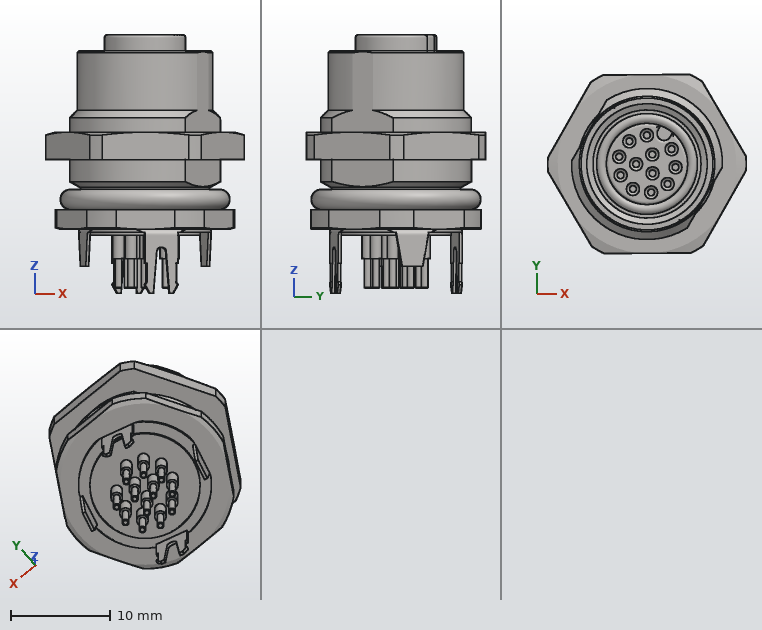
import cadquery as cq
import math

TOTAL_HEIGHT = 26.05
SHELL_TOP = 24.4
SHOULDER_TOP = 18.45
NUT_TOP = 16.23
NUT_BOTTOM = 13.47
THREAD_BOTTOM = 11.25
NECK_TOP = 10.68
FLANGE_TOP = 8.45
FLANGE_BOTTOM = 6.45
SKIRT_BOTTOM = 6.15
BASE_BOTTOM = 5.84

SHELL_RADIUS = 6.83
SHELL_EDGE_CHAMFER = 0.18
THREAD_RADIUS = 7.6
THREAD_END_RADIUS = 6.6
NECK_RADIUS = 6.5
SKIRT_RADIUS = 6.7
BASE_RADIUS = 5.55
FLAT_DISTANCE = 6.72
FLAT_ANGLE = 150.0

CAVITY_MOUTH_RADIUS = 6.07
CAVITY_RADIUS = 5.45
CAVITY_LEAD_IN_DROP = 0.3
CAVITY_DEPTH = 7.82
CAVITY_FLOOR = SHELL_TOP - CAVITY_DEPTH

INSERT_RADIUS = 4.1
INSERT_EDGE_FILLET = 0.3
KEYWAY_RADIUS = 0.7
KEYWAY_DISTANCE = 3.52
KEYWAY_ANGLE = 60.7
SOCKET_RADIUS = 0.35
SOCKET_MOUTH_RADIUS = 0.65
SOCKET_DEPTH = 5.2

OUTER_CONTACTS = 9
OUTER_CONTACT_RADIUS = 2.9
OUTER_CONTACT_PITCH = 37.6
INNER_CONTACTS = 3
INNER_CONTACT_RADIUS = 1.1
CONTACT_CENTRE_ANGLE = KEYWAY_ANGLE + 180

PIN_SLEEVE_RADIUS = 0.57
PIN_SLEEVE_BOTTOM = 3.5
PIN_RADIUS = 0.35
PIN_BOTTOM = 0.5
PIN_CHAMFER = 0.1

LEG_FACE_DISTANCE = 6.45
LEG_THICKNESS = 0.3
LEG_BEND_RADIUS = 0.78
PLAIN_LEG_ANGLES = (15.0, 195.0)
FORKED_LEG_ANGLES = (105.0, 285.0)
PLAIN_LEG_TOP_HALF = 1.7
PLAIN_LEG_BOTTOM_HALF = 1.07
PLAIN_LEG_BOTTOM = 2.7
FORK_HALF = 1.72
FORK_WAIST_HALF = 1.5
FORK_TIP_HALF = 1.22
FORK_SHOULDER = 3.05
FORK_BARB_TOP = 1.15
FORK_BARB = 0.89
SLOT_TOP_HALF = 0.5
SLOT_BOTTOM_HALF = 0.83
SLOT_ARCH_START = 4.15

HEX_TURN = 0.4
NUT_FLAT_DISTANCE = 9.0
NUT_CORNER_RADIUS = 10.0
NUT_CHAMFER_DROP = 0.29
NUT_BORE_RADIUS = 6.98
FLANGE_FLAT_DISTANCE = 8.55
FLANGE_CORNER_RADIUS = 9.05
FLANGE_CHAMFER_DROP = 0.15

SEAL_SECTION_RADIUS = 1.02
INNER_SEAL_SECTION_RADIUS = 0.5


def polar(radius, angle):
    """Point at a radius and an angle in degrees around the connector axis."""
    return radius * math.cos(math.radians(angle)), radius * math.sin(math.radians(angle))


def cylinder(radius, bottom, top):
    return cq.Workplane("XY").workplane(offset=bottom).circle(radius).extrude(top - bottom)


def revolved(points):
    """Solid of revolution from (radius, z) points."""
    return cq.Workplane("XZ").polyline(points).close().revolve(360, (0, 0), (0, 1))


def rounded_hexagon(flat_distance, corner_radius, bottom, top):
    """Hexagonal prism with flats facing Y, its corners turned down to a radius."""
    across_corners = 2 * flat_distance / math.cos(math.radians(30))
    hexagon = cq.Workplane("XY").workplane(offset=bottom).polygon(6, across_corners).extrude(top - bottom)
    hexagon = hexagon.rotate((0, 0, 0), (0, 0, 1), HEX_TURN)
    return hexagon.intersect(cylinder(corner_radius, bottom, top))


def oring(inner_radius, section_radius, bottom):
    """Ring of round section resting on the height `bottom`."""
    ring_radius = inner_radius + section_radius
    return (
        cq.Workplane("XZ")
        .center(ring_radius, bottom + section_radius)
        .circle(section_radius)
        .revolve(360, (-ring_radius, 0), (-ring_radius, 1))
    )


def contact_positions():
    half_count = OUTER_CONTACTS // 2
    outer = [
        polar(OUTER_CONTACT_RADIUS, CONTACT_CENTRE_ANGLE + OUTER_CONTACT_PITCH * i)
        for i in range(-half_count, half_count + 1)
    ]
    inner = [
        polar(INNER_CONTACT_RADIUS, KEYWAY_ANGLE + 360 / INNER_CONTACTS * i)
        for i in range(INNER_CONTACTS)
    ]
    return outer + inner


def shell():
    """Turned outside of the housing above the flange, with two opposite flats."""
    edge_radius = SHELL_RADIUS - SHELL_EDGE_CHAMFER
    turned = revolved([
        (0, FLANGE_TOP),
        (NECK_RADIUS, FLANGE_TOP),
        (NECK_RADIUS, NECK_TOP),
        (THREAD_END_RADIUS, NECK_TOP),
        (THREAD_RADIUS, THREAD_BOTTOM),
        (THREAD_RADIUS, SHOULDER_TOP - (THREAD_RADIUS - SHELL_RADIUS)),
        (SHELL_RADIUS, SHOULDER_TOP),
        (SHELL_RADIUS, SHELL_TOP - SHELL_EDGE_CHAMFER),
        (edge_radius, SHELL_TOP),
        (0, SHELL_TOP),
    ])
    between_flats = (
        cq.Workplane("XY")
        .box(2 * FLAT_DISTANCE, 2 * THREAD_RADIUS, 2 * TOTAL_HEIGHT)
        .rotate((0, 0, 0), (0, 0, 1), FLAT_ANGLE)
    )
    return turned.intersect(between_flats)


def cavity():
    return revolved([
        (0, CAVITY_FLOOR),
        (CAVITY_RADIUS, CAVITY_FLOOR),
        (CAVITY_RADIUS, SHELL_TOP - CAVITY_LEAD_IN_DROP),
        (CAVITY_MOUTH_RADIUS, SHELL_TOP),
        (0, SHELL_TOP),
    ])


def insert():
    """Contact insert with a keyway, rounded top edge and countersunk sockets."""
    keyway = (
        cq.Workplane("XY")
        .workplane(offset=CAVITY_FLOOR)
        .moveTo(INSERT_RADIUS, KEYWAY_RADIUS)
        .lineTo(KEYWAY_DISTANCE, KEYWAY_RADIUS)
        .threePointArc((KEYWAY_DISTANCE - KEYWAY_RADIUS, 0), (KEYWAY_DISTANCE, -KEYWAY_RADIUS))
        .lineTo(INSERT_RADIUS, -KEYWAY_RADIUS)
        .close()
        .extrude(TOTAL_HEIGHT - CAVITY_FLOOR)
        .rotate((0, 0, 0), (0, 0, 1), KEYWAY_ANGLE)
    )
    body = cylinder(INSERT_RADIUS, CAVITY_FLOOR, TOTAL_HEIGHT).cut(keyway)
    body = body.faces(">Z").edges().fillet(INSERT_EDGE_FILLET)
    socket = revolved([
        (0, TOTAL_HEIGHT - SOCKET_DEPTH),
        (SOCKET_RADIUS, TOTAL_HEIGHT - SOCKET_DEPTH),
        (SOCKET_RADIUS, TOTAL_HEIGHT - (SOCKET_MOUTH_RADIUS - SOCKET_RADIUS)),
        (SOCKET_MOUTH_RADIUS, TOTAL_HEIGHT),
        (0, TOTAL_HEIGHT),
    ])
    for x, y in contact_positions():
        body = body.cut(socket.translate((x, y, 0)))
    return body


def flange():
    """Hexagonal flange, its corners bevelled on the underside."""
    bevel = revolved([
        (0, FLANGE_BOTTOM),
        (FLANGE_FLAT_DISTANCE, FLANGE_BOTTOM),
        (FLANGE_CORNER_RADIUS, FLANGE_BOTTOM + FLANGE_CHAMFER_DROP),
        (FLANGE_CORNER_RADIUS, FLANGE_TOP),
        (0, FLANGE_TOP),
    ])
    return rounded_hexagon(FLANGE_FLAT_DISTANCE, FLANGE_CORNER_RADIUS, FLANGE_BOTTOM, FLANGE_TOP).intersect(bevel)


def bend_relief(angle):
    """Cutter leaving a concave bend from the flange down to the outer face of a leg."""
    drop = FLANGE_BOTTOM - BASE_BOTTOM
    inset = LEG_BEND_RADIUS - math.sqrt(LEG_BEND_RADIUS**2 - drop**2)
    mid_inset = LEG_BEND_RADIUS - math.sqrt(LEG_BEND_RADIUS**2 - (drop / 2) ** 2)
    return (
        cq.Workplane("XZ")
        .moveTo(LEG_FACE_DISTANCE, BASE_BOTTOM)
        .threePointArc(
            (LEG_FACE_DISTANCE - mid_inset, BASE_BOTTOM + drop / 2),
            (LEG_FACE_DISTANCE - inset, FLANGE_BOTTOM),
        )
        .lineTo(SKIRT_RADIUS, FLANGE_BOTTOM)
        .lineTo(SKIRT_RADIUS, BASE_BOTTOM)
        .close()
        .extrude(SKIRT_RADIUS, both=True)
        .rotate((0, 0, 0), (0, 0, 1), angle)
    )


def leg(outline, angle):
    """Flat leg from a (sideways, z) outline, facing outward at an angle."""
    return (
        cq.Workplane("YZ")
        .workplane(offset=LEG_FACE_DISTANCE - LEG_THICKNESS)
        .polyline(outline)
        .close()
        .extrude(LEG_THICKNESS)
        .rotate((0, 0, 0), (0, 0, 1), angle)
    )


def plain_leg(angle):
    outline = [
        (-PLAIN_LEG_TOP_HALF, SKIRT_BOTTOM),
        (-PLAIN_LEG_BOTTOM_HALF, PLAIN_LEG_BOTTOM),
        (PLAIN_LEG_BOTTOM_HALF, PLAIN_LEG_BOTTOM),
        (PLAIN_LEG_TOP_HALF, SKIRT_BOTTOM),
    ]
    return leg(outline, angle)


def forked_leg(angle):
    """Leg with barbed tips on both sides of a tapered, round-topped slot."""
    right_side = [
        (FORK_HALF, SKIRT_BOTTOM),
        (FORK_HALF, FORK_SHOULDER),
        (FORK_WAIST_HALF, FORK_SHOULDER),
        (FORK_WAIST_HALF, FORK_BARB_TOP),
        (FORK_HALF, FORK_BARB),
        (FORK_TIP_HALF, 0),
    ]
    left_side = [(-side, z) for side, z in reversed(right_side)]
    slot = (
        cq.Workplane("YZ")
        .moveTo(-SLOT_BOTTOM_HALF, 0)
        .lineTo(-SLOT_TOP_HALF, SLOT_ARCH_START)
        .threePointArc((0, SLOT_ARCH_START + SLOT_TOP_HALF), (SLOT_TOP_HALF, SLOT_ARCH_START))
        .lineTo(SLOT_BOTTOM_HALF, 0)
        .close()
        .extrude(SKIRT_RADIUS)
        .rotate((0, 0, 0), (0, 0, 1), angle)
    )
    return leg(right_side + left_side, angle).cut(slot)


def skirt():
    """Round skirt below the flange with its bent-down legs."""
    ring = cylinder(SKIRT_RADIUS, SKIRT_BOTTOM, FLANGE_BOTTOM)
    legs = [plain_leg(angle) for angle in PLAIN_LEG_ANGLES]
    legs += [forked_leg(angle) for angle in FORKED_LEG_ANGLES]
    for one_leg in legs:
        ring = ring.union(one_leg)
    for angle in PLAIN_LEG_ANGLES + FORKED_LEG_ANGLES:
        ring = ring.cut(bend_relief(angle))
    return ring


def solder_pin():
    """Stepped pin on the connector axis, sleeved near the base."""
    return revolved([
        (0, BASE_BOTTOM),
        (PIN_SLEEVE_RADIUS, BASE_BOTTOM),
        (PIN_SLEEVE_RADIUS, PIN_SLEEVE_BOTTOM),
        (PIN_RADIUS, PIN_SLEEVE_BOTTOM),
        (PIN_RADIUS, PIN_BOTTOM + PIN_CHAMFER),
        (PIN_RADIUS - PIN_CHAMFER, PIN_BOTTOM),
        (0, PIN_BOTTOM),
    ])


def make_housing():
    """Shell, insert, flange, skirt and pins as one body."""
    body = shell().cut(cavity()).union(insert()).union(flange()).union(skirt())
    body = body.union(cylinder(BASE_RADIUS, BASE_BOTTOM, FLANGE_BOTTOM))
    for x, y in contact_positions():
        body = body.union(solder_pin().translate((x, y, 0)))
    return body


def make_nut():
    """Hexagon nut bevelled on its upper corners, leaving small gaps at the shell's flats."""
    bevel = revolved([
        (0, NUT_BOTTOM),
        (NUT_CORNER_RADIUS, NUT_BOTTOM),
        (NUT_CORNER_RADIUS, NUT_TOP - NUT_CHAMFER_DROP),
        (NUT_FLAT_DISTANCE, NUT_TOP),
        (0, NUT_TOP),
    ])
    blank = rounded_hexagon(NUT_FLAT_DISTANCE, NUT_CORNER_RADIUS, NUT_BOTTOM, NUT_TOP).intersect(bevel)
    bored = blank.cut(cylinder(NUT_BORE_RADIUS, NUT_BOTTOM, NUT_TOP))
    return bored.cut(shell())


housing = make_housing()
nut = make_nut()
flange_seal = oring(NECK_RADIUS, SEAL_SECTION_RADIUS, FLANGE_TOP)
socket_seal = oring(INSERT_RADIUS, INNER_SEAL_SECTION_RADIUS, CAVITY_FLOOR)

result = cq.Compound.makeCompound([housing.val(), nut.val(), flange_seal.val(), socket_seal.val()])